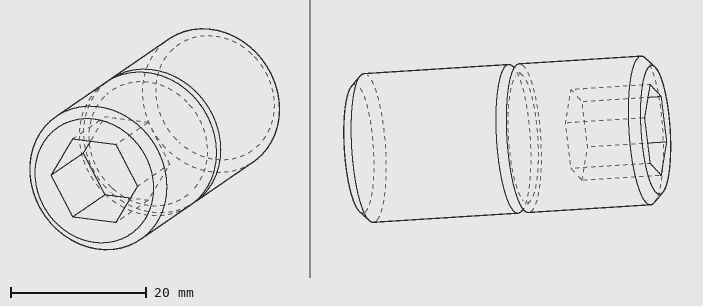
import cadquery as cq
import math

total_length = 45.0
diameter = 22.0
screw_length = 20.0
body_gap = 0.1
chamfer = 1.5

socket_across_flats = 12.0
socket_depth = 12.0

radius = diameter / 2
plug_start = screw_length + body_gap
plug_length = total_length - plug_start
socket_across_corners = socket_across_flats / math.cos(math.pi / 6)


def cylinder_along_y(start, length):
    """Round bar on the Y axis, from Y = start towards +Y."""
    return cq.Workplane("XZ", origin=(0, start, 0)).circle(radius).extrude(-length)


def make_socket():
    """Hexagonal prism with two corners on the X axis, entering from Y = 0."""
    return cq.Workplane("XZ").polygon(6, socket_across_corners).extrude(-socket_depth)


def make_set_screw():
    """Front body: socket in the chamfered outer end, flat square-edged inner end."""
    blank = cylinder_along_y(0, screw_length).faces("<Y").chamfer(chamfer)
    return blank.cut(make_socket())


def make_plug():
    """Rear body: plain round plug chamfered at both ends, just clear of the screw."""
    return cylinder_along_y(plug_start, plug_length).faces("<Y or >Y").chamfer(chamfer)


set_screw = make_set_screw()
plug = make_plug()

result = cq.Compound.makeCompound([set_screw.val(), plug.val()])